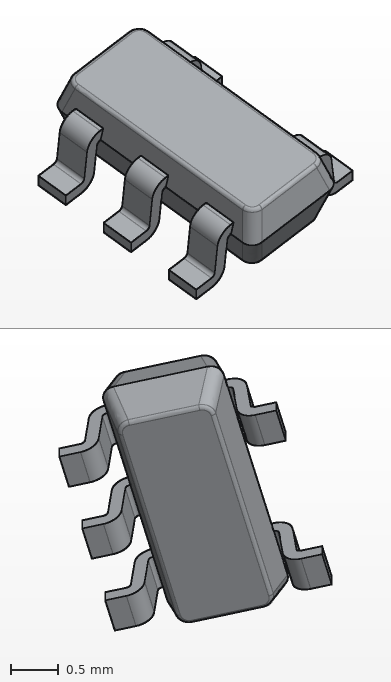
import cadquery as cq
import math

body_length = 2.92
body_width = 1.3
body_bottom = 0.1
body_top = 1.0
parting_height = 0.602
draft_angle = 15.0
corner_radius = 0.15
rim_radius = 0.05

lead_width = 0.4
lead_thickness = 0.15
lead_pitch = 0.95
lead_top = 0.75
lead_span = 2.34
lead_tilt = 6.0
bend_outer_radius = 0.2
bend_inner_radius = bend_outer_radius - lead_thickness
foot_length = 0.228
root_depth = 0.205

front_lead_positions = [-lead_pitch, 0, lead_pitch]
back_lead_positions = [-lead_pitch, lead_pitch]


def body_half(height):
    """Sharp-edged half of the body, tapering from the parting plane; height is signed."""
    inset = abs(height) * math.tan(math.radians(draft_angle))
    return (
        cq.Workplane("XY")
        .workplane(offset=parting_height)
        .rect(body_length, body_width)
        .workplane(offset=height)
        .rect(body_length - 2 * inset, body_width - 2 * inset)
        .loft(ruled=True)
    )


def make_body():
    upper = body_half(body_top - parting_height)
    lower = body_half(body_bottom - parting_height)
    body = upper.union(lower)
    slanted_corners = "not(#Z)"
    body = body.edges(slanted_corners).fillet(corner_radius)
    return body.faces("<Z or >Z").edges().fillet(rim_radius)


def make_lead(x_center):
    """Lead on the +Y side: flat root, bend down, leaning leg, bend out, flat foot."""
    sweep = math.radians(90 - lead_tilt)
    tip = lead_span / 2
    foot_start = tip - foot_length
    bend_radii = bend_outer_radius + bend_inner_radius
    bend_drop = bend_radii * (1 - math.cos(sweep))
    bend_reach = bend_radii * math.sin(sweep)
    leg_drop = lead_top - lead_thickness - bend_drop
    leg_reach = leg_drop * math.tan(math.radians(lead_tilt))
    shoulder = foot_start - bend_reach - leg_reach
    root = body_width / 2 - root_depth

    def shoulder_point(radius, angle):
        """Point on the upper bend, turned by angle from the flat root."""
        return (
            shoulder + radius * math.sin(angle),
            lead_top - bend_outer_radius + radius * math.cos(angle),
        )

    def ankle_point(radius, angle):
        """Point on the lower bend, turned by angle from the flat foot."""
        return (
            foot_start - radius * math.sin(angle),
            bend_outer_radius - radius * math.cos(angle),
        )

    profile = (
        cq.Workplane("YZ")
        .moveTo(root, lead_top)
        .lineTo(*shoulder_point(bend_outer_radius, 0))
        .threePointArc(
            shoulder_point(bend_outer_radius, sweep / 2), shoulder_point(bend_outer_radius, sweep)
        )
        .lineTo(*ankle_point(bend_inner_radius, sweep))
        .threePointArc(
            ankle_point(bend_inner_radius, sweep / 2), ankle_point(bend_inner_radius, 0)
        )
        .lineTo(tip, lead_thickness)
        .lineTo(tip, 0)
        .lineTo(*ankle_point(bend_outer_radius, 0))
        .threePointArc(
            ankle_point(bend_outer_radius, sweep / 2), ankle_point(bend_outer_radius, sweep)
        )
        .lineTo(*shoulder_point(bend_inner_radius, sweep))
        .threePointArc(
            shoulder_point(bend_inner_radius, sweep / 2), shoulder_point(bend_inner_radius, 0)
        )
        .lineTo(root, lead_top - lead_thickness)
        .close()
    )
    return profile.extrude(lead_width / 2, both=True).translate((x_center, 0, 0))


result = make_body()
for x in back_lead_positions:
    result = result.union(make_lead(x))
for x in front_lead_positions:
    result = result.union(make_lead(x).mirror("XZ"))